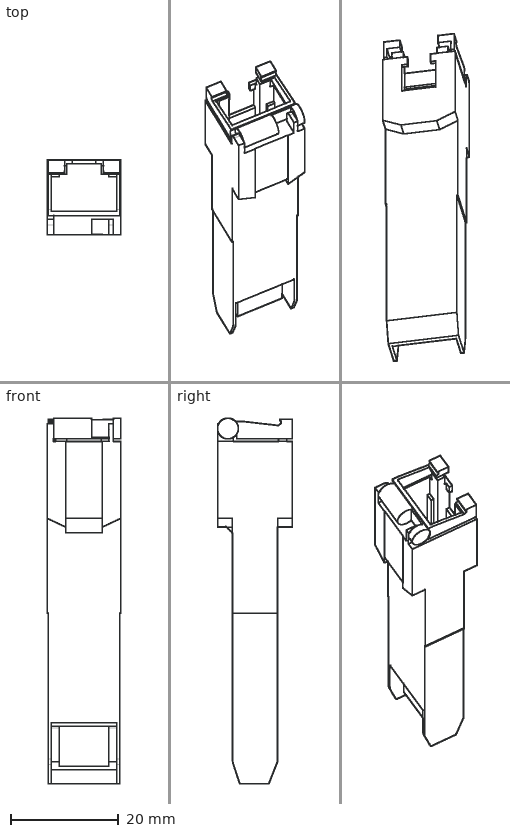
import cadquery as cq

total_height = 67.9
half_width = 6.85
head_half_depth = 13.9 / 2

plug_half_depth = 4.2
plug_tip_half_width = 6.65
plug_step_z = 31.7
tip_front_y = -2.85
tip_back_y = 2.6
tip_taper_z = 4.15
tip_front_radius = 3.4

head_top_z = 63.55
head_skirt_edge_z = 49.3
head_skirt_inner_z = 47.7
skirt_flat_half_width = 3.4

ear_top_z = 66.9
ear_back_y = -4.0
ear_round = 1.0
left_ear_x = (-half_width, -5.65)
right_ear_x = (4.6, 5.4)

socket_floor_z = 50.25
socket_half_width = 6.05
socket_front_y = -2.6
socket_back_y = 3.8
socket_step_half_width = 4.55
socket_step_back_y = 4.35
socket_ledge_z = 58.4
tab_half_width = 3.2
tab_back_y = 6.25
tab_slot_floor_z = 55.7
catch_half_gap = 2.2
catch_bottom_z = 61.8

post_outer_x = 5.3
post_back_y = 5.9
post_top_z = 65.75

bay_half_width = socket_half_width
bay_top_z = 11.35
bay_roof_inner_z = 10.7
bay_roof_round = 0.35
bay_back_y = 3.6
bay_ramp_top_z = 4.1
bay_ramp_foot_z = 2.65
bay_ramp_foot_y = 1.6
contact_half_width = 4.6
contact_front_y = -2.05
contact_bottom_z = 3.25

panel_half_width = skirt_flat_half_width
panel_depth = 0.1
panel_bottom_z = 46.6

latch_half_width = 6.65
latch_bottom_z = 64.05
latch_rim_z = 67.3
latch_front_y = -3.4
latch_rim_back_y = -2.2
lip_top_z = 67.7
lip_bottom_z = 66.0
lip_inner_x = 3.6
lip_neck_y = 4.8
lip_nose_y = 4.55
lip_foot_y = 4.35
lip_nose_z = 67.5
lip_neck_top_z = 67.3
lip_neck_bottom_z = 66.95
lip_foot_z = 66.55
roller_radius = (total_height - latch_bottom_z) / 2
roller_y = roller_radius - head_half_depth
roller_z = total_height - roller_radius
roller_end_x = 1.4


def box(x_range, y_range, z_range):
    """Box spanning the three (low, high) ranges."""
    (x0, x1), (y0, y1), (z0, z1) = x_range, y_range, z_range
    return cq.Workplane("XY").box(x1 - x0, y1 - y0, z1 - z0, centered=False).translate((x0, y0, z0))


def centered_box(half_x, y_range, z_range):
    """Box symmetric about X = 0."""
    return box((-half_x, half_x), y_range, z_range)


def side_sketch(start_x):
    """Workplane whose local axes are Y and Z, extruding toward +X from start_x."""
    return cq.Workplane("YZ").workplane(offset=start_x)


def plug():
    tip_outline = [
        (-plug_half_depth, plug_step_z),
        (-plug_half_depth, tip_taper_z),
        (tip_front_y, 0),
        (tip_back_y, 0),
        (plug_half_depth, tip_taper_z),
        (plug_half_depth, plug_step_z),
    ]
    tip = side_sketch(-plug_tip_half_width).polyline(tip_outline).close().extrude(2 * plug_tip_half_width)
    front_bend = cq.selectors.NearestToPointSelector((0, -plug_half_depth, tip_taper_z))
    tip = tip.edges(front_bend).fillet(tip_front_radius)
    upper = centered_box(half_width, (-plug_half_depth, plug_half_depth), (plug_step_z, head_top_z))
    return tip.union(upper)


def head():
    """Head whose lower edge slopes down from both sides to a flat middle."""
    outline = [
        (-half_width, head_top_z),
        (-half_width, head_skirt_edge_z),
        (-skirt_flat_half_width, head_skirt_inner_z),
        (skirt_flat_half_width, head_skirt_inner_z),
        (half_width, head_skirt_edge_z),
        (half_width, head_top_z),
    ]
    return cq.Workplane("XZ").polyline(outline).close().extrude(head_half_depth, both=True)


def ear(x_range):
    block = box(x_range, (-head_half_depth, ear_back_y), (head_top_z, ear_top_z))
    return block.edges("|X and >Y and >Z").fillet(ear_round)


def post(side):
    """Post beside the tab notch; side is -1 (left) or 1 (right)."""
    x_range = sorted((side * tab_half_width, side * post_outer_x))
    return box(x_range, (socket_step_back_y, post_back_y), (head_top_z, post_top_z))


def socket():
    """Stepped socket opening, with a notch for the cable tab through the back wall."""
    z_range = (socket_floor_z, head_top_z)
    main = centered_box(socket_half_width, (socket_front_y, socket_back_y), z_range)
    above_ledges = centered_box(
        socket_half_width, (socket_back_y, socket_step_back_y), (socket_ledge_z, head_top_z)
    )
    step = centered_box(socket_step_half_width, (socket_back_y, socket_step_back_y), z_range)
    tab = centered_box(tab_half_width, (socket_step_back_y, tab_back_y), z_range)
    back_wall = (tab_back_y, head_half_depth)
    notch = centered_box(tab_half_width, back_wall, (tab_slot_floor_z, catch_bottom_z))
    catch_gap = centered_box(catch_half_gap, back_wall, (catch_bottom_z, head_top_z))
    return main.union(above_ledges).union(step).union(tab).union(notch).union(catch_gap)


def contact_bay():
    """Bay open to the front and bottom of the plug tip."""
    return (
        side_sketch(-bay_half_width)
        .moveTo(-plug_half_depth, bay_top_z)
        .lineTo(contact_front_y, bay_roof_inner_z)
        .lineTo(bay_back_y - bay_roof_round, bay_roof_inner_z)
        .radiusArc((bay_back_y, bay_roof_inner_z - bay_roof_round), bay_roof_round)
        .lineTo(bay_back_y, bay_ramp_top_z)
        .lineTo(bay_ramp_foot_y, bay_ramp_foot_z)
        .lineTo(bay_ramp_foot_y, 0)
        .lineTo(-plug_half_depth, 0)
        .close()
        .extrude(2 * bay_half_width)
    )


def front_panel():
    """Panel down the front of the head, ending in a ramp that meets the face of the plug."""
    panel_y = panel_depth - head_half_depth
    ramp_rise = -plug_half_depth - panel_y
    outline = [
        (-plug_half_depth, head_top_z),
        (panel_y, head_top_z),
        (panel_y, panel_bottom_z + ramp_rise),
        (-plug_half_depth, panel_bottom_z),
    ]
    return side_sketch(-panel_half_width).polyline(outline).close().extrude(2 * panel_half_width)


def front_panel_channel():
    """Channel through the front of the head that the panel fills."""
    y_range = (-head_half_depth, -plug_half_depth)
    return centered_box(panel_half_width, y_range, (head_skirt_inner_z, head_top_z))


def housing_body():
    body = plug().union(head()).cut(front_panel_channel()).union(front_panel())
    for x_range in (left_ear_x, right_ear_x):
        body = body.union(ear(x_range))
    for side in (-1, 1):
        body = body.union(post(side))
    return body.cut(socket()).cut(contact_bay())


def contact_block_body():
    """Block hanging in the bay, against its roof and back and above its ramp."""
    block = centered_box(contact_half_width, (contact_front_y, bay_back_y), (contact_bottom_z, bay_top_z))
    return block.intersect(contact_bay())


def latch_frame():
    """Open frame: front wall, two sides, and a lip at the back end of each side."""
    outline = [
        (latch_front_y, latch_bottom_z),
        (latch_front_y, latch_rim_z),
        (latch_rim_back_y, latch_rim_z),
        (lip_foot_y, lip_foot_z),
        (lip_neck_y, lip_neck_bottom_z),
        (lip_neck_y, lip_neck_top_z),
        (lip_nose_y, lip_nose_z),
        (lip_nose_y, lip_top_z),
        (head_half_depth, lip_top_z),
        (head_half_depth, latch_bottom_z),
    ]
    frame = side_sketch(-latch_half_width).polyline(outline).close().extrude(2 * latch_half_width)
    full_height = (latch_bottom_z, lip_top_z)
    opening = centered_box(socket_half_width, (socket_front_y, lip_foot_y), full_height)
    lip_gap = centered_box(lip_inner_x, (lip_foot_y, head_half_depth), full_height)
    under_lips = centered_box(
        socket_half_width, (lip_foot_y, head_half_depth), (latch_bottom_z, lip_bottom_z)
    )
    return frame.cut(opening).cut(lip_gap).cut(under_lips)


def roller_cylinder(x_range):
    start_x, end_x = x_range
    outline = side_sketch(start_x).center(roller_y, roller_z).circle(roller_radius)
    return outline.extrude(end_x - start_x)


def hinge_roller():
    """Roller across the front, flattened in front beside and at the right ear."""
    roller = roller_cylinder((left_ear_x[1], half_width))
    flat_x = (roller_end_x, right_ear_x[1])
    return roller.cut(box(flat_x, (-head_half_depth, ear_back_y), (latch_bottom_z, total_height)))


def latch_body():
    """Frame with its roller, and a round scoop behind the left ear."""
    return latch_frame().cut(roller_cylinder(left_ear_x)).union(hinge_roller())


housing = housing_body().solids().val()
contact_block = contact_block_body().solids().val()
latch = latch_body().solids().val()

result = cq.Compound.makeCompound([housing, contact_block, latch])